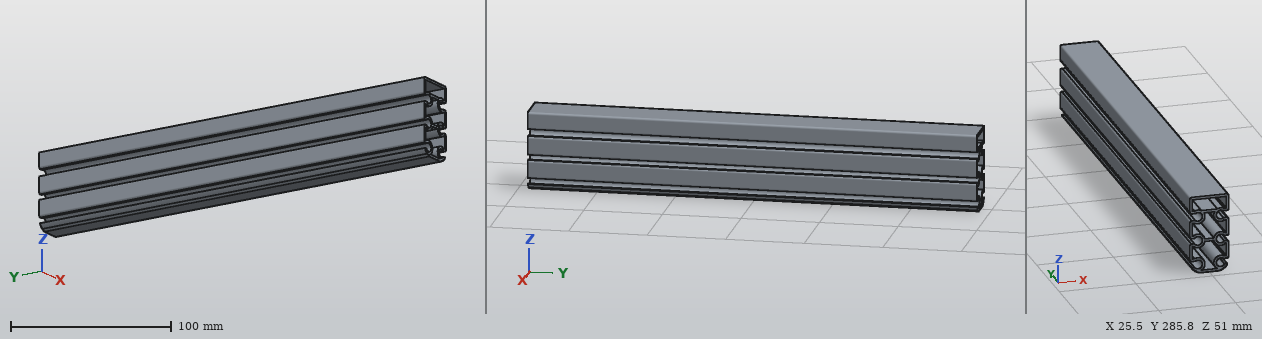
import cadquery as cq

WIDTH = 25.5
LENGTH = 285.8
HEIGHT = 51.0
WALL = 1.7

CHANNEL_RADIUS = 3.0
CHANNEL_X = 7.5
LOWER_PITCH = 15.7
UPPER_PITCH = 16.0
BOTTOM_CHANNEL_Z = 5.7
MOUTH_HALF = 2.3
MIDDLE_MOUTH_HALF = 1.7
EDGE_ROUND = 1.5

TOP_WEB_RISE = 3.1
BASE_FLAT_HALF = 6.5
BASE_TAPER_HALF = 9.1
BASE_TAPER_Z = 1.1
HOOK_HALF_WIDTH = 11.7
HOOK_DROP = 1.5

HALF = WIDTH / 2
RING_RADIUS = CHANNEL_RADIUS + WALL
MIDDLE_CHANNEL_Z = BOTTOM_CHANNEL_Z + LOWER_PITCH
TOP_CHANNEL_Z = MIDDLE_CHANNEL_Z + UPPER_PITCH
MIDDLE_WEB_HALF = CHANNEL_X - CHANNEL_RADIUS - WALL / 2


def bar(x_min, x_max, z_min, z_max):
    """Rectangular bar running the full length."""
    return cq.Workplane("XY").box(x_max - x_min, LENGTH, z_max - z_min).translate(
        ((x_min + x_max) / 2, 0, (z_min + z_max) / 2)
    )


def rod(radius, z):
    """Full-length cylinder on the right-hand channel axis."""
    return (
        cq.Workplane("XZ").center(CHANNEL_X, z).circle(radius)
        .extrude(LENGTH / 2, both=True)
    )


def side_wall(z_min, z_max):
    """Right-hand side wall with inward lips at its ends."""
    wall = bar(CHANNEL_X, HALF, z_min, z_max)
    wall = wall.faces(">X").edges("|Y").fillet(EDGE_ROUND)
    return wall.cut(bar(CHANNEL_X, HALF - WALL, z_min + WALL, z_max - WALL))


def channel_ring(z):
    """Ring around one channel, up to where the side lips begin."""
    return rod(RING_RADIUS, z).intersect(
        bar(0, HOOK_HALF_WIDTH, z - RING_RADIUS, z + RING_RADIUS)
    )


def side_walls():
    """The three right-hand walls, separated by the channel mouths."""
    lower = side_wall(BOTTOM_CHANNEL_Z + MOUTH_HALF, MIDDLE_CHANNEL_Z - MIDDLE_MOUTH_HALF)
    upper = side_wall(MIDDLE_CHANNEL_Z + MIDDLE_MOUTH_HALF, TOP_CHANNEL_Z - MOUTH_HALF)
    cap = side_wall(TOP_CHANNEL_Z + MOUTH_HALF, HEIGHT)
    return lower.union(upper).union(cap)


def web(x_max, z_center):
    """Horizontal web from the centre plane out to x_max."""
    return bar(0, x_max, z_center - WALL / 2, z_center + WALL / 2)


def base():
    """Bottom plate, tapering up into the bottom channel rings."""
    outline = [
        (0, 0),
        (BASE_FLAT_HALF, 0),
        (BASE_TAPER_HALF, BASE_TAPER_Z),
        (CHANNEL_X, WALL),
        (0, WALL),
    ]
    return cq.Workplane("XZ").polyline(outline).close().extrude(LENGTH / 2, both=True)


def right_half():
    half = side_walls().union(base())
    half = half.union(web(CHANNEL_X, HEIGHT - WALL / 2))
    half = half.union(web(CHANNEL_X, TOP_CHANNEL_Z + TOP_WEB_RISE))
    half = half.union(web(MIDDLE_WEB_HALF, MIDDLE_CHANNEL_Z))

    channels = (
        (BOTTOM_CHANNEL_Z, HOOK_DROP, MOUTH_HALF),
        (MIDDLE_CHANNEL_Z, MIDDLE_MOUTH_HALF, MIDDLE_MOUTH_HALF),
        (TOP_CHANNEL_Z, MOUTH_HALF, MOUTH_HALF),
    )
    for z, mouth_below, mouth_above in channels:
        half = half.union(channel_ring(z))
        half = half.cut(rod(CHANNEL_RADIUS, z))
        half = half.cut(bar(CHANNEL_X, HALF, z - mouth_below, z + mouth_above))
    return half


half_profile = right_half()
result = half_profile.union(half_profile.mirror("YZ")).clean()